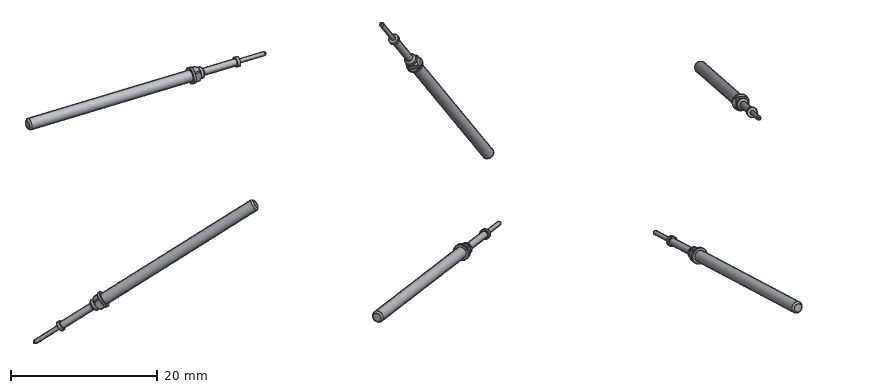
import cadquery as cq

total_length = 37.3

pin_diameter = 0.6
tip_chamfer_length = 0.25
tip_chamfer_depth = 0.15
collar_diameter = 1.4
collar_front = 4.3
collar_thickness = 0.45
shaft_diameter = 1.0

barrel_diameter = 1.65
barrel_front = 9.8
barrel_front_chamfer_length = 0.25
barrel_front_chamfer_depth = 0.3
barrel_rear_chamfer_length = 0.25
barrel_rear_chamfer_depth = 0.22
flange_diameter = 2.3
flange_front = 11.5
flange_thickness = 0.35

head_corner_diameter = 2.13
head_across_flats = barrel_diameter
head_front = 10.48
head_cone_length = 0.25


def cylinder(front, back, diameter):
    """Round section between two distances back from the plunger tip."""
    start = cq.Workplane("XZ", origin=(0, total_length - front, 0))
    return start.circle(diameter / 2).extrude(back - front)


def make_plunger():
    """Pin with a bevelled tip, a collar and a thicker shaft."""
    pin = cylinder(0, collar_front, pin_diameter)
    pin = pin.faces(">Y").chamfer(tip_chamfer_length, tip_chamfer_depth)
    collar = cylinder(collar_front, collar_front + collar_thickness, collar_diameter)
    shaft = cylinder(collar_front + collar_thickness, barrel_front, shaft_diameter)
    return pin.union(collar).union(shaft)


def make_barrel():
    """Long tube body bevelled at both ends, with a stop flange."""
    body = cylinder(barrel_front, total_length, barrel_diameter)
    body = body.faces(">Y").chamfer(barrel_front_chamfer_length, barrel_front_chamfer_depth)
    body = body.faces("<Y").chamfer(barrel_rear_chamfer_length, barrel_rear_chamfer_depth)
    flange = cylinder(flange_front, flange_front + flange_thickness, flange_diameter)
    return body.union(flange)


def make_head():
    """Coned cylinder trimmed to four flats."""
    cone_rise = (head_corner_diameter - barrel_diameter) / 2
    head = cylinder(head_front, flange_front, head_corner_diameter)
    head = head.faces(">Y").chamfer(head_cone_length, cone_rise)
    square = (
        cq.Workplane("XZ", origin=(0, total_length - head_front, 0))
        .rect(head_across_flats, head_across_flats)
        .extrude(flange_front - head_front)
    )
    return head.intersect(square)


result = make_plunger().union(make_barrel()).union(make_head())